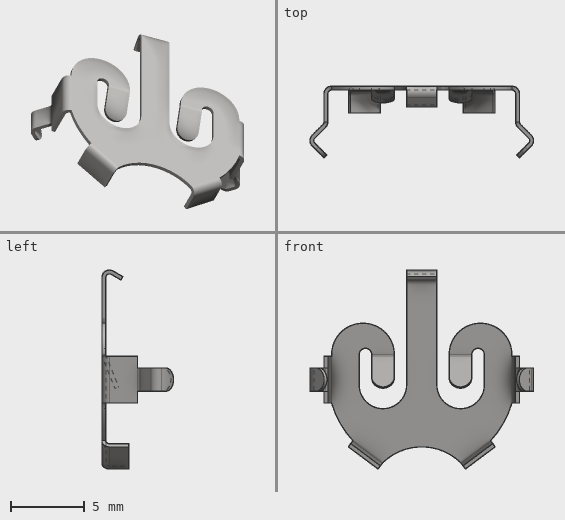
import cadquery as cq
import math

overall_width = 15.12
overall_depth = 4.85
top_height = 7.41

sheet = 0.27
inner_bend = 0.24
outer_bend = inner_bend + sheet
square_fold = 90.0

side_tab_height = 3.19
side_tab_depth = 2.42
arm_height = side_tab_height / 2
arm_angle = 45.0
arm_flat = 1.03
arm_sin = math.sin(math.radians(arm_angle))
arm_cos = math.cos(math.radians(arm_angle))
arm_reach = arm_flat * arm_sin + (inner_bend + outer_bend) * (1 - arm_cos)
fold_distance = overall_width / 2 - arm_reach - outer_bend
arm_tip_depth = side_tab_depth + arm_flat * arm_cos + (inner_bend + 2 * outer_bend) * arm_sin
arm_tip_length = (overall_depth - arm_tip_depth) / arm_cos

lower_tab_angle = 36.8
lower_tab_width = 2.51
lower_tab_depth = 1.83

stem_half_width = 1.03
slot_outer_x = 4.22
slot_radius = (slot_outer_x - stem_half_width) / 2
slot_arc_z = -0.36
hook_z = 1.7
hook_inner_x = 1.85
hook_radius = (fold_distance - hook_inner_x) / 2
hook_slot_x = 3.39
hook_slot_radius = (slot_outer_x - hook_slot_x) / 2
lower_edge_radius = 6.35
bottom_notch_z = -4.55

tongue_angle = 22.0
tongue_length = 2.25
tongue_width = hook_slot_x - hook_inner_x

lip_angle = 120.0
lip_length = 0.75
stem_fold_z = top_height - outer_bend


def fold_frame(x, z, direction):
    """Frame on the rear face: local X leaves the plate, local Z points through the sheet to -Y."""
    return cq.Plane(origin=(x, 0, z), xDir=direction, normal=(0, -1, 0))


def flat(frame, length, width):
    """Straight strip along the frame, and the frame at its far end."""
    strip = cq.Workplane(frame).rect(length, width).extrude(sheet).translate(frame.xDir * (length / 2))
    return strip, cq.Plane(frame.toWorldCoords((length, 0, 0)), frame.xDir, frame.zDir)


def rounded_flat(frame, length, width):
    """Straight strip whose far end is a full half circle."""
    straight = length - width / 2
    return (
        cq.Workplane(frame)
        .moveTo(0, -width / 2)
        .lineTo(straight, -width / 2)
        .threePointArc((length, 0), (straight, width / 2))
        .lineTo(0, width / 2)
        .close()
        .extrude(sheet)
    )


def bend(frame, angle, width):
    """Bent strip, turning to local +Z for a positive angle, and the frame at its far end."""
    pivot = outer_bend if angle > 0 else -inner_bend
    side = math.copysign(0.15, angle)
    section = cq.Plane(frame.origin, frame.yDir, frame.xDir)
    strip = (
        cq.Workplane(section)
        .center(0, sheet / 2)
        .rect(width, sheet)
        .revolve(abs(angle), (side, pivot - sheet / 2), (-side, pivot - sheet / 2))
    )
    turn = math.radians(angle)
    end = frame.toWorldCoords((pivot * math.sin(turn), 0, pivot * (1 - math.cos(turn))))
    turned = frame.rotated((0, -angle, 0))
    return strip, cq.Plane(end, turned.xDir, turned.zDir)


def half_plate():
    """Flat plate on the +X side, from the bottom notch round the hook to the stem."""
    tilt = math.radians(lower_tab_angle)
    half_tab = lower_tab_width / 2
    middle_x = fold_distance * math.sin(tilt)
    middle_z = -fold_distance * math.cos(tilt)
    along_x = half_tab * math.cos(tilt)
    along_z = half_tab * math.sin(tilt)
    notch_corner = (middle_x - along_x, middle_z - along_z)
    outer_corner = (middle_x + along_x, middle_z + along_z)
    hook_center_x = fold_distance - hook_radius
    hook_slot_center_x = slot_outer_x - hook_slot_radius
    slot_center_x = slot_outer_x - slot_radius
    notch_rise = bottom_notch_z - notch_corner[1]
    notch_radius = (notch_corner[0] ** 2 + notch_rise**2) / (2 * notch_rise)
    return (
        cq.Workplane(fold_frame(0, 0, (1, 0, 0)))
        .moveTo(0, bottom_notch_z)
        .radiusArc(notch_corner, notch_radius)
        .lineTo(*outer_corner)
        .radiusArc((fold_distance, -side_tab_height / 2), -lower_edge_radius)
        .lineTo(fold_distance, hook_z)
        .threePointArc((hook_center_x, hook_z + hook_radius), (hook_inner_x, hook_z))
        .lineTo(hook_slot_x, hook_z)
        .threePointArc((hook_slot_center_x, hook_z + hook_slot_radius), (slot_outer_x, hook_z))
        .lineTo(slot_outer_x, slot_arc_z)
        .threePointArc((slot_center_x, slot_arc_z - slot_radius), (stem_half_width, slot_arc_z))
        .lineTo(stem_half_width, stem_fold_z)
        .lineTo(0, stem_fold_z)
        .close()
        .extrude(sheet)
    )


def side_tab():
    """Wide tab folded forward, with a narrower arm kinked out and back in to a round tip."""
    frame = fold_frame(fold_distance, 0, (1, 0, 0))
    corner, frame = bend(frame, square_fold, side_tab_height)
    tab, frame = flat(frame, side_tab_depth - outer_bend, side_tab_height)
    kink, frame = bend(frame, -arm_angle, arm_height)
    arm, frame = flat(frame, arm_flat, arm_height)
    elbow, frame = bend(frame, 2 * arm_angle, arm_height)
    tip = rounded_flat(frame, arm_tip_length, arm_height)
    return corner.union(tab).union(kink).union(arm).union(elbow).union(tip)


def lower_tab():
    """Plain rectangular tab folded forward from the slanted lower edge."""
    tilt = math.radians(lower_tab_angle)
    outward_x = math.sin(tilt)
    outward_z = -math.cos(tilt)
    frame = fold_frame(fold_distance * outward_x, fold_distance * outward_z, (outward_x, 0, outward_z))
    corner, frame = bend(frame, square_fold, lower_tab_width)
    tab, _ = flat(frame, lower_tab_depth - outer_bend, lower_tab_width)
    return corner.union(tab)


def tongue():
    """Round-ended tongue leaning forward from the end of the hook."""
    frame = fold_frame((hook_inner_x + hook_slot_x) / 2, hook_z, (0, 0, -1))
    corner, frame = bend(frame, tongue_angle, tongue_width)
    return corner.union(rounded_flat(frame, tongue_length, tongue_width))


def stem_lip():
    """Lip folded forward and down over the top of the stem."""
    frame = fold_frame(0, stem_fold_z, (0, 0, 1))
    corner, frame = bend(frame, lip_angle, 2 * stem_half_width)
    lip, _ = flat(frame, lip_length, 2 * stem_half_width)
    return corner.union(lip)


half = half_plate().union(side_tab()).union(lower_tab()).union(tongue())
result = half.union(half.mirror("YZ")).union(stem_lip())